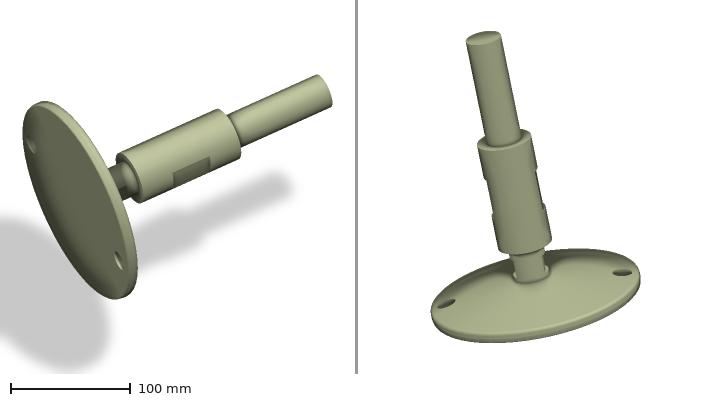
import cadquery as cq
import math

TOTAL_LENGTH = 240.0
SOLE_Y = 0.0

PLATE_DIAMETER = 178.0
RIM_BAND_BOTTOM = 4.0
RIM_BAND_TOP = 7.0
RIM_FILLET = 3.0
RIM_TAPER = 0.7
SOLE_CHAMFER = 0.7
CONE_SLOPE = math.radians(10.0)

HOLE_DIAMETER = 16.5
HOLE_OFFSET = 72.7
HOLE_REACH = 48.0

SPINDLE_DIAMETER = 30.0
SPINDLE_FLAT_WIDTH = 24.0
SPINDLE_FLAT_START = 27.0
SPINDLE_FLAT_LENGTH = 15.4

SLEEVE_DIAMETER = 46.0
SLEEVE_START = 52.5
SLEEVE_LENGTH = 94.5
SLEEVE_FLAT_WIDTH = 41.0
SLEEVE_FLAT_LENGTH = 36.0
SLEEVE_FLAT_START = SLEEVE_START + (SLEEVE_LENGTH - SLEEVE_FLAT_LENGTH) / 2

PLATE_RADIUS = PLATE_DIAMETER / 2
SPINDLE_RADIUS = SPINDLE_DIAMETER / 2
FILLET_CENTRE_RADIUS = PLATE_RADIUS - RIM_FILLET
CONE_EDGE_RADIUS = FILLET_CENTRE_RADIUS + RIM_FILLET * math.sin(CONE_SLOPE)
CONE_EDGE_Y = RIM_BAND_TOP + RIM_FILLET * math.cos(CONE_SLOPE)
CONE_TOP_Y = CONE_EDGE_Y + (CONE_EDGE_RADIUS - SPINDLE_RADIUS) * math.tan(CONE_SLOPE)


def cylinder_along_y(diameter, start, length):
    """Solid cylinder on the Y axis, from y = start toward +Y."""
    return cq.Workplane(cq.Solid.makeCylinder(
        diameter / 2, length, cq.Vector(0, start, 0), cq.Vector(0, 1, 0)
    ))


def cut_wrench_flats(body, diameter, flat_width, start, length):
    """Cut two flats facing -X and +X, flat_width apart."""
    depth = (diameter - flat_width) / 2
    for side in (-1, 1):
        cutter = (
            cq.Workplane("XY")
            .box(2 * depth, length, diameter)
            .translate((side * (flat_width / 2 + depth), start + length / 2, 0))
        )
        body = body.cut(cutter)
    return body


def make_plate():
    """Conical plate with a filleted, tapered rim, turned about Y."""
    half_sweep = (math.pi / 2 - CONE_SLOPE) / 2
    fillet_middle = (
        FILLET_CENTRE_RADIUS + RIM_FILLET * math.cos(half_sweep),
        RIM_BAND_TOP + RIM_FILLET * math.sin(half_sweep),
    )
    taper_radius = PLATE_RADIUS - RIM_TAPER
    return (
        cq.Workplane("XY")
        .moveTo(0, SOLE_Y)
        .lineTo(taper_radius - SOLE_CHAMFER, SOLE_Y)
        .lineTo(taper_radius, SOLE_Y + SOLE_CHAMFER)
        .lineTo(PLATE_RADIUS, RIM_BAND_BOTTOM)
        .lineTo(PLATE_RADIUS, RIM_BAND_TOP)
        .threePointArc(fillet_middle, (CONE_EDGE_RADIUS, CONE_EDGE_Y))
        .lineTo(SPINDLE_RADIUS, CONE_TOP_Y)
        .lineTo(0, CONE_TOP_Y)
        .close()
        .revolve(360, (0, 0, 0), (0, 1, 0))
    )


def make_hole_cutter(side):
    """Hole cutter leaning outward so that it meets the cone squarely."""
    direction = cq.Vector(side * math.sin(CONE_SLOPE), math.cos(CONE_SLOPE), 0)
    start = cq.Vector(side * HOLE_OFFSET, SOLE_Y, 0) - direction * HOLE_REACH
    return cq.Solid.makeCylinder(HOLE_DIAMETER / 2, 2 * HOLE_REACH, start, direction)


def make_foot():
    """Plate and full-length spindle as one body."""
    plate = make_plate()
    for side in (-1, 1):
        plate = plate.cut(cq.Workplane(make_hole_cutter(side)))
    spindle = cylinder_along_y(SPINDLE_DIAMETER, CONE_TOP_Y, TOTAL_LENGTH - CONE_TOP_Y)
    spindle = cut_wrench_flats(
        spindle, SPINDLE_DIAMETER, SPINDLE_FLAT_WIDTH, SPINDLE_FLAT_START, SPINDLE_FLAT_LENGTH
    )
    return plate.union(spindle)


def make_sleeve():
    """Sleeve bored to fit the spindle."""
    sleeve = cylinder_along_y(SLEEVE_DIAMETER, SLEEVE_START, SLEEVE_LENGTH)
    sleeve = sleeve.cut(cylinder_along_y(SPINDLE_DIAMETER, SLEEVE_START, SLEEVE_LENGTH))
    return cut_wrench_flats(
        sleeve, SLEEVE_DIAMETER, SLEEVE_FLAT_WIDTH, SLEEVE_FLAT_START, SLEEVE_FLAT_LENGTH
    )


foot = make_foot()
sleeve = make_sleeve()

result = cq.Compound.makeCompound([foot.val(), sleeve.val()])